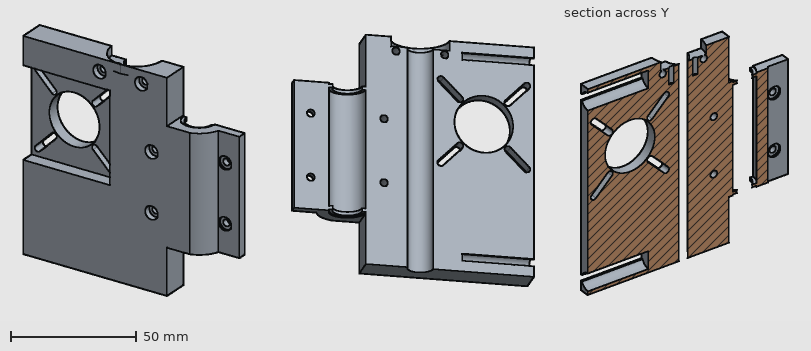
import cadquery as cq
import math

plate_width = 68.9
plate_height = 97.0
thickness = 12.0
top = plate_height / 2

overall_width = 98.3
wing_height = 54.0
wing_top = wing_height / 2
flange_thickness = 4.0
bearing_x = 76.5
housing_radius = 12.5
bearing_radius = 7.5
lip_radius = 6.0
lip_thickness = 1.5
lip_recess = 0.5

pocket_width = 41.6
pocket_height = 42.0
pocket_depth = thickness / 2
pocket_inset = 13.1
pocket_top = top - pocket_inset
motor_x = pocket_width - pocket_height / 2
motor_z = pocket_top - pocket_height / 2
motor_bore_diameter = 24.0
slot_width = 2.8
slot_inner_offset = 9.8
slot_outer_offset = 17.6

screw_x = 46.6
screw_radius = 5.2
seat_radius = thickness
seat_depth = 4.1
nut_hole_diameter = 3.0
nut_hole_offset = 5.8
nut_hole_depth = 7.9

socket_diameter = 8.2
socket_depth = 29.5
socket_y = -4.7
socket_inset = 6.0
slit_width = 3.0

bolt_diameter = 3.0
head_diameter = 6.0
head_depth = 2.95
body_seat = thickness - head_depth
flange_seat = 3.0
top_bolt_spacing = 20.0
top_bolt_inset = 6.0
wing_bolt_spacing_x = 30.0
wing_bolt_spacing_z = 27.0


def box(x0, x1, y0, y1, z0, z1):
    """Box between opposite corners."""
    return cq.Workplane("XY").box(x1 - x0, y1 - y0, z1 - z0, centered=False).translate((x0, y0, z0))


def vertical_cylinder(x, y, radius, z0, z1):
    return cq.Workplane("XY", origin=(x, y, z0)).circle(radius).extrude(z1 - z0)


def front_cylinder(x, z, diameter, depth_start, depth_end):
    """Cylinder along Y, running between two distances in front of the rear face."""
    plane = cq.Workplane("XZ", origin=(x, -depth_start, z))
    return plane.circle(diameter / 2).extrude(depth_end - depth_start)


def make_wing():
    arc_start_x = bearing_x + math.sqrt(housing_radius**2 - thickness**2)
    arc_end_x = bearing_x + math.sqrt(housing_radius**2 - flange_thickness**2)
    arc_middle = housing_radius * math.sqrt(0.5)
    return (
        cq.Workplane("XY", origin=(0, 0, -wing_top))
        .moveTo(plate_width, 0)
        .lineTo(plate_width, -thickness)
        .lineTo(arc_start_x, -thickness)
        .threePointArc((bearing_x + arc_middle, -arc_middle), (arc_end_x, -flange_thickness))
        .lineTo(overall_width, -flange_thickness)
        .lineTo(overall_width, 0)
        .close()
        .extrude(wing_height)
    )


def bearing_channel():
    """Bearing bore with a retaining lip just inside each end."""
    channel = vertical_cylinder(bearing_x, 0, lip_radius, -wing_top, wing_top)
    lip_outer = wing_top - lip_recess
    lip_inner = lip_outer - lip_thickness
    for z0, z1 in ((-wing_top, -lip_outer), (-lip_inner, lip_inner), (lip_outer, wing_top)):
        channel = channel.union(vertical_cylinder(bearing_x, 0, bearing_radius, z0, z1))
    return channel


def motor_cutout():
    cutout = box(0, pocket_width, -thickness, -thickness + pocket_depth, pocket_top - pocket_height, pocket_top)
    cutout = cutout.union(front_cylinder(motor_x, motor_z, motor_bore_diameter, 0, thickness))
    slot_middle = (slot_inner_offset + slot_outer_offset) / 2
    slot_length = (slot_outer_offset - slot_inner_offset) * math.sqrt(2) + slot_width
    for side_x in (-1, 1):
        for side_z in (-1, 1):
            slot = (
                cq.Workplane("XZ", origin=(motor_x, 0, motor_z))
                .center(side_x * slot_middle, side_z * slot_middle)
                .slot2D(slot_length, slot_width, 45 * side_x * side_z)
                .extrude(thickness)
            )
            cutout = cutout.union(slot)
    return cutout


def screw_cutout():
    cutout = vertical_cylinder(screw_x, 0, screw_radius, -top, top)
    seat_floor = top - seat_depth
    cutout = cutout.union(vertical_cylinder(screw_x, 0, seat_radius, seat_floor, top))
    for side in (-1, 1):
        x = screw_x + side * nut_hole_offset
        hole = vertical_cylinder(x, -nut_hole_offset, nut_hole_diameter / 2, seat_floor - nut_hole_depth, seat_floor)
        cutout = cutout.union(hole)
    return cutout


def rod_socket(z):
    bore = cq.Workplane("YZ").center(socket_y, z).circle(socket_diameter / 2).extrude(socket_depth)
    return bore.union(box(0, socket_depth, socket_y, 0, z - slit_width / 2, z + slit_width / 2))


def bolt_hole(x, z, head_floor):
    shank = front_cylinder(x, z, bolt_diameter, 0, thickness)
    return shank.union(front_cylinder(x, z, head_diameter, head_floor, thickness))


result = box(0, plate_width, -thickness, 0, -top, top).union(make_wing())
result = result.cut(bearing_channel()).cut(motor_cutout()).cut(screw_cutout())

for side in (-1, 1):
    result = result.cut(rod_socket(side * (top - socket_inset)))
    result = result.cut(bolt_hole(screw_x + side * top_bolt_spacing / 2, top - top_bolt_inset, body_seat))
    wing_seat = flange_seat if side > 0 else body_seat
    for level in (-1, 1):
        bolt_x = bearing_x + side * wing_bolt_spacing_x / 2
        result = result.cut(bolt_hole(bolt_x, level * wing_bolt_spacing_z / 2, wing_seat))